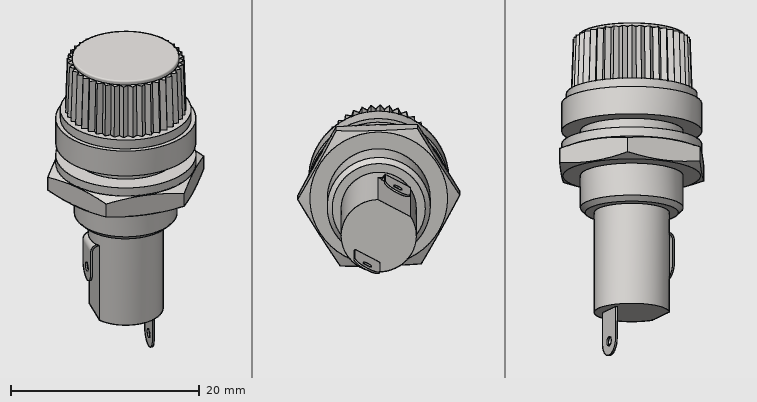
import cadquery as cq
import math


barrel_bottom = 4.98
flat_top = 13.9
thread_bottom = 15.92
nut_bottom = 19.95
nut_top = 22.4
washer_top = 23.4
flange_bottom = 24.85
flange_top = 27.85
knurl_bottom = 28.9
knurl_top = 34.88
total_height = 35.3

barrel_radius = 4.0
thread_radius = 5.47
thread_chamfer = 0.53
flange_radius = 7.45
collar_radius = 6.95

cap_radius = 5.7
cap_fillet = 0.18
tooth_count = 40
tooth_depth = 0.45
tooth_tip_bottom = 6.42
tooth_tip_top = 6.2

nut_corner_width = 17.23
nut_chamfer_height = 0.45
nut_face_radius = 7.3

flat_width = 3.95
terminal_width = 3.05
terminal_thickness = 0.2
terminal_hole = 1.0
lower_terminal_y = 2.6
terminal_embed = 1.75
side_terminal_y = -4.3
side_terminal_hole_z = 10.55


def cylinder(radius, bottom, top):
    return cq.Workplane("XY").workplane(offset=bottom).circle(radius).extrude(top - bottom)


def make_body():
    """Barrel, threaded bush, washer, flange, collar and the plain crown of the cap."""
    barrel = cylinder(barrel_radius, barrel_bottom, thread_bottom)
    bush = cylinder(thread_radius, thread_bottom, flange_bottom).faces("<Z").chamfer(thread_chamfer)
    washer = cylinder(flange_radius, nut_top, washer_top)
    flange = cylinder(flange_radius, flange_bottom, flange_top)
    collar = cylinder(collar_radius, flange_top, knurl_bottom)
    crown = cylinder(cap_radius, knurl_bottom, total_height).faces(">Z").edges().fillet(cap_fillet)
    return barrel.union(bush).union(washer).union(flange).union(collar).union(crown)


def tooth_outline(tip_radius):
    """Star-shaped outline with sharp teeth, one of them on the +X axis."""
    points = []
    for step in range(2 * tooth_count):
        radius = tip_radius if step % 2 == 0 else tip_radius - tooth_depth
        angle = math.pi * step / tooth_count
        points.append((radius * math.cos(angle), radius * math.sin(angle)))
    return points


def make_knurl():
    """Toothed grip that narrows towards the top."""
    return (
        cq.Workplane("XY", origin=(0, 0, knurl_bottom))
        .polyline(tooth_outline(tooth_tip_bottom)).close()
        .workplane(offset=knurl_top - knurl_bottom)
        .polyline(tooth_outline(tooth_tip_top)).close()
        .loft(ruled=True)
    )


def make_nut():
    """Hexagon trimmed by a double cone, which leaves curved chamfers on the corners."""
    corner_radius = nut_corner_width / 2
    hexagon = (
        cq.Workplane("XY", origin=(0, 0, nut_bottom))
        .transformed(rotate=(0, 0, 30))
        .polygon(6, nut_corner_width)
        .extrude(nut_top - nut_bottom)
    )
    double_cone = (
        cq.Workplane("XZ")
        .moveTo(0, nut_bottom)
        .lineTo(nut_face_radius, nut_bottom)
        .lineTo(corner_radius, nut_bottom + nut_chamfer_height)
        .lineTo(corner_radius, nut_top - nut_chamfer_height)
        .lineTo(nut_face_radius, nut_top)
        .lineTo(0, nut_top)
        .close()
        .revolve(360, (0, 0, 0), (0, 1, 0))
    )
    return hexagon.intersect(double_cone)


flat_distance = math.sqrt(barrel_radius ** 2 - (flat_width / 2) ** 2)


def make_flat_cut():
    return (
        cq.Workplane("XY", origin=(0, -barrel_radius - flat_distance, barrel_bottom))
        .rect(2 * barrel_radius, 2 * barrel_radius)
        .extrude(flat_top - barrel_bottom)
    )


def make_blade(front_y, hole_z, top_z):
    """Flat terminal blade with a round lower end and a hole at the centre of that end."""
    half_width = terminal_width / 2
    return (
        cq.Workplane("XZ", origin=(0, front_y, 0))
        .moveTo(-half_width, top_z)
        .lineTo(-half_width, hole_z)
        .threePointArc((0, hole_z - half_width), (half_width, hole_z))
        .lineTo(half_width, top_z)
        .close()
        .moveTo(0, hole_z)
        .circle(terminal_hole / 2)
        .extrude(-terminal_thickness)
    )


def make_lower_terminal():
    front_y = lower_terminal_y - terminal_thickness / 2
    return make_blade(front_y, terminal_width / 2, barrel_bottom + terminal_embed)


def make_side_terminal():
    """Blade hanging in front of the flat, joined to the barrel by a quarter bend."""
    bend_outer = -flat_distance - side_terminal_y
    bend_inner = bend_outer - terminal_thickness
    bend_z = flat_top - bend_outer
    root_y = -flat_distance + terminal_thickness
    diagonal = math.sqrt(0.5)
    bend = (
        cq.Workplane("YZ")
        .moveTo(root_y, flat_top)
        .lineTo(-flat_distance, flat_top)
        .threePointArc(
            (-flat_distance - bend_outer * diagonal, bend_z + bend_outer * diagonal),
            (side_terminal_y, bend_z),
        )
        .lineTo(side_terminal_y + terminal_thickness, bend_z)
        .threePointArc(
            (-flat_distance - bend_inner * diagonal, bend_z + bend_inner * diagonal),
            (-flat_distance, bend_z + bend_inner),
        )
        .lineTo(root_y, bend_z + bend_inner)
        .close()
        .extrude(terminal_width / 2, both=True)
    )
    return bend.union(make_blade(side_terminal_y, side_terminal_hole_z, bend_z))


result = (
    make_body()
    .union(make_knurl())
    .union(make_nut())
    .cut(make_flat_cut())
    .union(make_lower_terminal())
    .union(make_side_terminal())
)